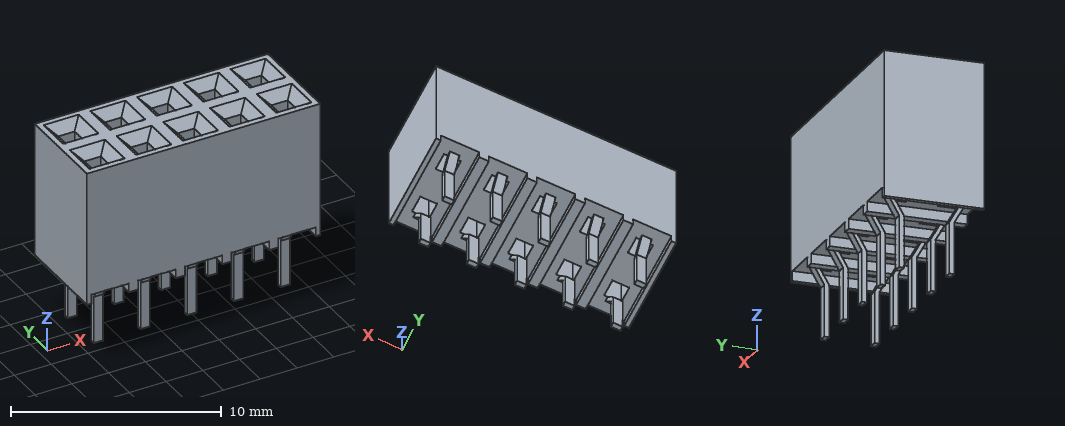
import cadquery as cq
import math

pitch = 2.54
columns = 5
rows = 2

body_length = columns * pitch
body_width = rows * pitch
body_height = 7.37

foot_width = 0.51
channel_width = pitch - foot_width
channel_height = 0.5

mouth_size = 1.9
hole_size = 0.89
lead_in_depth = 0.51

pin_width = 0.51
pin_thickness = 0.25
pin_drop = 3.1
bend_z = -0.5
lean_angle = 30.0
pin_embed = 0.51
pin_top_z = channel_height + pin_embed
lean_shift = (pin_top_z - bend_z) * math.tan(math.radians(lean_angle))

column_places = [(i - (columns - 1) / 2) * pitch for i in range(columns)]
row_places = [(i - (rows - 1) / 2) * pitch for i in range(rows)]


def make_channel(x):
    """Channel that runs across the full width of the underside."""
    return (
        cq.Workplane("XY")
        .center(x, 0)
        .rect(channel_width, body_width)
        .extrude(channel_height)
    )


def make_socket(x, y):
    """Square hole through the housing with a tapered mouth at the top."""
    hole = cq.Workplane("XY").center(x, y).rect(hole_size, hole_size).extrude(body_height)
    lead_in = (
        cq.Workplane("XY", origin=(x, y, body_height - lead_in_depth))
        .rect(hole_size, hole_size)
        .workplane(offset=lead_in_depth)
        .rect(mouth_size, mouth_size)
        .loft(ruled=True)
    )
    return hole.union(lead_in)


def make_pin(x, y):
    """Bent flat pin whose top leans away from the middle of the housing."""
    outward = math.copysign(1, y)
    inner = y - outward * pin_thickness / 2
    outer = y + outward * pin_thickness / 2
    shift = outward * lean_shift
    profile = [
        (inner, -pin_drop),
        (outer, -pin_drop),
        (outer, bend_z),
        (outer + shift, pin_top_z),
        (inner + shift, pin_top_z),
        (inner, bend_z),
    ]
    return (
        cq.Workplane("YZ", origin=(x, 0, 0))
        .polyline(profile)
        .close()
        .extrude(pin_width / 2, both=True)
    )


housing = cq.Workplane("XY").rect(body_length, body_width).extrude(body_height)
for x in column_places:
    housing = housing.cut(make_channel(x))
    for y in row_places:
        housing = housing.cut(make_socket(x, y))

result = housing
for x in column_places:
    for y in row_places:
        result = result.union(make_pin(x, y))